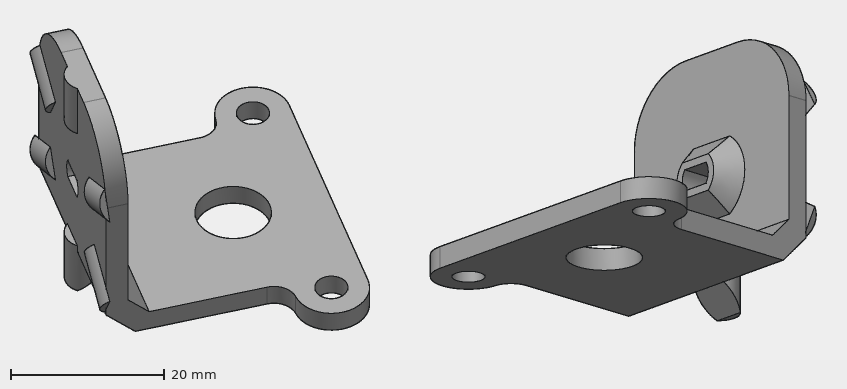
import cadquery as cq
import math

overall_length = 45.0
overall_depth = 36.0
plate_width = 30.0
half_width = plate_width / 2
thickness = 3.0

rib_count = 6
rib_radius = 3.0
rib_height = 1.0
rib_inner_end = 10.0
rib_outer_end = 18.0
rib_axis_y = rib_radius - rib_height

plate_top = rib_outer_end
corner_radius = 10.0
base_bottom = -half_width
base_top = base_bottom + thickness
base_back = overall_depth - rib_height
outer_bend_chamfer = 4.0
inner_bend_chamfer = 2.9

ear_radius = 5.0
ear_hole_diameter = 4.3
ear_fillet = 3.0
ear_x = overall_length / 2 - ear_radius
ear_y = base_back - ear_radius
opening_diameter = 10.0
opening_y = 21.95

shaft_radius = 2.5
shaft_flat_height = 2.92
boss_height = 2.9
boss_tip_radius = 3.55
boss_tip_half_height = 2.5


def box(x_min, x_max, y_min, y_max, z_min, z_max):
    size = (x_max - x_min, y_max - y_min, z_max - z_min)
    return cq.Workplane("XY").box(*size, centered=False).translate((x_min, y_min, z_min))


def side_prism(points, width):
    """Prism of a (y, z) outline, centred on x = 0."""
    return cq.Workplane("YZ").polyline(points).close().extrude(width / 2, both=True)


def upright_plate():
    plate = box(-half_width, half_width, 0, thickness, base_bottom, plate_top)
    return plate.edges("|Y and >Z").fillet(corner_radius)


def base_plate():
    body = box(-half_width, half_width, 0, base_back, base_bottom, base_top)
    ears = (
        cq.Workplane("XY", origin=(0, ear_y, base_bottom))
        .slot2D(overall_length, 2 * ear_radius)
        .extrude(thickness)
    )
    base = body.union(ears)

    notch_y = ear_y - math.sqrt(ear_radius**2 - (ear_x - half_width) ** 2)
    margin = thickness / 4
    for x in (-half_width, half_width):
        corner = cq.selectors.BoxSelector(
            (x - margin, notch_y - margin, base_bottom - margin),
            (x + margin, notch_y + margin, base_top + margin),
        )
        base = base.edges("|Z").edges(corner).fillet(ear_fillet)

    ear_holes = (
        cq.Workplane("XY", origin=(0, ear_y, base_bottom))
        .pushPoints([(-ear_x, 0), (ear_x, 0)])
        .circle(ear_hole_diameter / 2)
        .extrude(thickness)
    )
    opening = (
        cq.Workplane("XY", origin=(0, opening_y, base_bottom))
        .circle(opening_diameter / 2)
        .extrude(thickness)
    )
    return base.cut(ear_holes).cut(opening)


def bend_filler():
    points = [
        (thickness, base_top),
        (thickness + inner_bend_chamfer, base_top),
        (thickness, base_top + inner_bend_chamfer),
    ]
    return side_prism(points, plate_width)


def bend_corner():
    points = [
        (0, base_bottom),
        (outer_bend_chamfer, base_bottom),
        (0, base_bottom + outer_bend_chamfer),
    ]
    return side_prism(points, plate_width)


def boss():
    """Double-D boss whose round and flat sides both flare at 45 degrees."""
    tip_y = thickness + boss_height
    cone = (
        cq.Workplane("XY")
        .moveTo(0, thickness)
        .lineTo(boss_tip_radius + boss_height, thickness)
        .lineTo(boss_tip_radius, tip_y)
        .lineTo(0, tip_y)
        .close()
        .revolve(360, (0, 0, 0), (0, 1, 0))
    )
    root_half_height = boss_tip_half_height + boss_height
    wedge_points = [
        (thickness, -root_half_height),
        (tip_y, -boss_tip_half_height),
        (tip_y, boss_tip_half_height),
        (thickness, root_half_height),
    ]
    return cone.intersect(side_prism(wedge_points, plate_width))


def shaft_hole():
    depth = thickness + boss_height
    bore = cq.Workplane("XZ").circle(shaft_radius).extrude(-depth)
    half_flat = shaft_flat_height / 2
    flats = box(-shaft_radius, shaft_radius, 0, depth, -half_flat, half_flat)
    return bore.intersect(flats)


def lowest_rod():
    return (
        cq.Workplane("XY", origin=(0, rib_axis_y, -rib_outer_end))
        .circle(rib_radius)
        .extrude(rib_outer_end - rib_inner_end)
    )


def ribs():
    """Parts of the rods that stand proud of the front face."""
    front = box(-rib_radius, rib_radius, -rib_height, 0, -rib_outer_end, -rib_inner_end)
    rib = lowest_rod().intersect(front)
    pattern = rib
    for i in range(1, rib_count):
        turned = rib.rotate((0, 0, 0), (0, 1, 0), i * 360 / rib_count)
        pattern = pattern.union(turned)
    return pattern


def rib_foot():
    """Rear of the lowest rod, which joins the bend and is undercut at 45 degrees."""
    reach = (rib_outer_end - rib_inner_end) / 2
    points = [
        (0, -rib_inner_end),
        (reach, -rib_inner_end - reach),
        (0, -rib_outer_end),
    ]
    return lowest_rod().intersect(side_prism(points, plate_width))


bracket = upright_plate().union(base_plate()).union(bend_filler()).cut(bend_corner())
result = bracket.union(boss()).union(ribs()).union(rib_foot()).cut(shaft_hole())